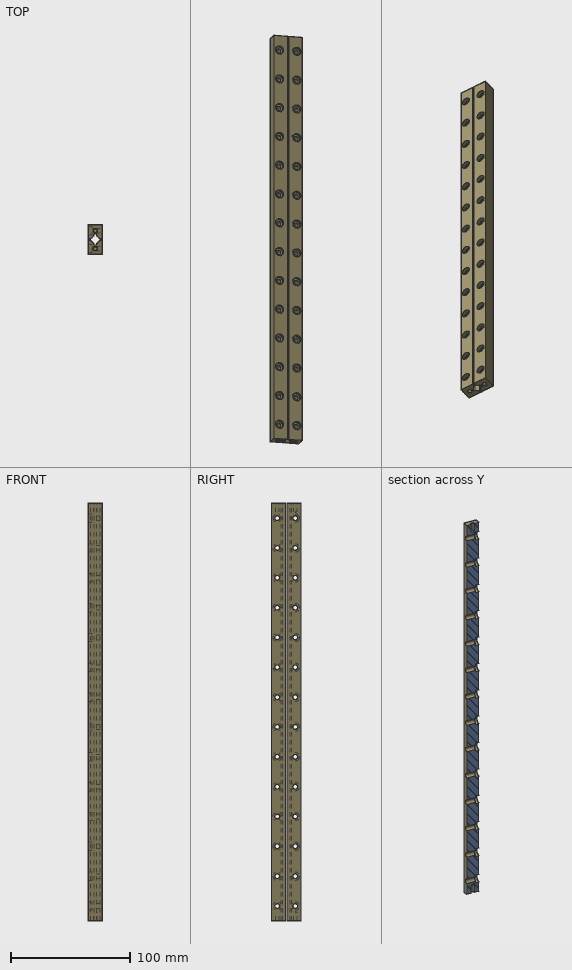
import cadquery as cq
import math


RAIL_LENGTH = 350.0
RAIL_THICKNESS = 12.0
PAIR_WIDTH = 25.0
GAP = 1.0

TRACK_HALF_OPENING = 4.0
RELIEF_WIDTH = 2.5
RELIEF_FLOOR = 4.5

MOUNT_COUNT = 14
MOUNT_PITCH = RAIL_LENGTH / MOUNT_COUNT
HOLE_ROW_SPACING = 15.0
MOUNT_DIAMETER = 4.0
COUNTERBORE_DIAMETER = 7.0
COUNTERBORE_DEPTH = 3.0

END_HOLE_DIAMETER = 3.0
END_HOLE_DEPTH = 7.0
COUNTERSINK_DIAMETER = 4.0
DRILL_TIP_ANGLE = 120.0

HOLE_ROW_OFFSET = HOLE_ROW_SPACING / 2
INNER_Y = GAP / 2
OUTER_Y = PAIR_WIDTH / 2
HALF_THICKNESS = RAIL_THICKNESS / 2
HALF_LENGTH = RAIL_LENGTH / 2
HALF_RELIEF = RELIEF_WIDTH / 2
V_END_Y = INNER_Y + TRACK_HALF_OPENING - HALF_RELIEF


def rail_blank():
    """Bar on the +Y side with the track along its inner side."""
    return (
        cq.Workplane("XY")
        .workplane(offset=-HALF_LENGTH)
        .moveTo(-HALF_THICKNESS, INNER_Y)
        .lineTo(-TRACK_HALF_OPENING, INNER_Y)
        .lineTo(-HALF_RELIEF, V_END_Y)
        .lineTo(-HALF_RELIEF, RELIEF_FLOOR)
        .lineTo(HALF_RELIEF, RELIEF_FLOOR)
        .lineTo(HALF_RELIEF, V_END_Y)
        .lineTo(TRACK_HALF_OPENING, INNER_Y)
        .lineTo(HALF_THICKNESS, INNER_Y)
        .lineTo(HALF_THICKNESS, OUTER_Y)
        .lineTo(-HALF_THICKNESS, OUTER_Y)
        .close()
        .extrude(RAIL_LENGTH)
    )


def cut_mounting_holes(rail):
    """Row of counterbored through holes, half a pitch in from each end."""
    first_z = MOUNT_PITCH / 2 - HALF_LENGTH
    centers = [(HOLE_ROW_OFFSET, first_z + i * MOUNT_PITCH) for i in range(MOUNT_COUNT)]
    plane = cq.Workplane("YZ").workplane(offset=-HALF_THICKNESS).pushPoints(centers)
    through_holes = plane.circle(MOUNT_DIAMETER / 2).extrude(RAIL_THICKNESS)
    counterbores = plane.circle(COUNTERBORE_DIAMETER / 2).extrude(COUNTERBORE_DEPTH)
    return rail.cut(through_holes).cut(counterbores)


def cut_end_holes(rail):
    """One countersunk blind hole in each end, in line with the row of mounting holes."""
    radius = END_HOLE_DIAMETER / 2
    mouth_radius = COUNTERSINK_DIAMETER / 2
    countersink_depth = mouth_radius - radius
    tip_depth = END_HOLE_DEPTH + radius / math.tan(math.radians(DRILL_TIP_ANGLE / 2))
    drill = (
        cq.Workplane("XZ")
        .polyline([
            (0, HALF_LENGTH),
            (mouth_radius, HALF_LENGTH),
            (radius, HALF_LENGTH - countersink_depth),
            (radius, HALF_LENGTH - END_HOLE_DEPTH),
            (0, HALF_LENGTH - tip_depth),
        ])
        .close()
        .revolve(360, (0, 0), (0, 1))
        .translate((0, HOLE_ROW_OFFSET, 0))
    )
    return rail.cut(drill).cut(drill.mirror("XY"))


def make_rail():
    """Finished rail on the +Y side."""
    return cut_end_holes(cut_mounting_holes(rail_blank()))


rails = []
for is_mirrored in (False, True):
    rail = make_rail()
    if is_mirrored:
        rail = rail.mirror("XZ")
    rails.append(rail.val())

result = cq.Compound.makeCompound(rails)